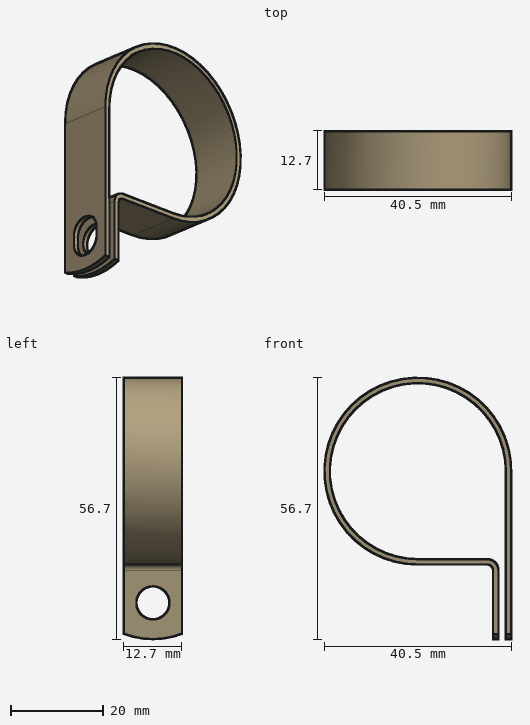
import cadquery as cq
import math

inner_radius = 19.05
thickness = 1.22
width = 12.7
leg_bottom_z = -36.45
leg_gap = 1.55
bend_inner_radius = 1.22
hole_diameter = 7.1
slot_length = 9.1
hole_height = 7.9
tip_sag = 1.2

outer_radius = inner_radius + thickness
bend_outer_radius = bend_inner_radius + thickness
short_leg_outer_x = inner_radius - leg_gap
short_leg_inner_x = short_leg_outer_x - thickness
bend_center_x = short_leg_outer_x - bend_outer_radius
bend_center_z = -inner_radius - bend_outer_radius
half_width = width / 2


def arc_point(center_x, center_z, radius, angle):
    """Point (x, z) on an arc at the given angle in degrees, measured from +X toward +Z."""
    radians = math.radians(angle)
    return (center_x + radius * math.cos(radians), center_z + radius * math.sin(radians))


def loop_midpoint(radius):
    """Point halfway along the three-quarter loop, up and to the left of its axis."""
    return arc_point(0, 0, radius, 135)


def bend_midpoint(radius):
    """Point halfway along the quarter bend, up and to the right of its centre."""
    return arc_point(bend_center_x, bend_center_z, radius, 45)


def make_strap():
    """Bent strip: long straight leg, three-quarter loop, flat shelf, bend and short leg."""
    profile = (
        cq.Workplane("XZ", origin=(0, half_width, 0))
        .moveTo(outer_radius, leg_bottom_z)
        .lineTo(outer_radius, 0)
        .threePointArc(loop_midpoint(outer_radius), (0, -outer_radius))
        .lineTo(bend_center_x, -outer_radius)
        .threePointArc(bend_midpoint(bend_inner_radius), (short_leg_inner_x, bend_center_z))
        .lineTo(short_leg_inner_x, leg_bottom_z)
        .lineTo(short_leg_outer_x, leg_bottom_z)
        .lineTo(short_leg_outer_x, bend_center_z)
        .threePointArc(bend_midpoint(bend_outer_radius), (bend_center_x, -inner_radius))
        .lineTo(0, -inner_radius)
        .threePointArc(loop_midpoint(inner_radius), (inner_radius, 0))
        .lineTo(inner_radius, leg_bottom_z)
        .close()
    )
    return profile.extrude(width)


def make_side_envelope():
    """Block whose arched lower end rounds both leg tips."""
    tip_corner_z = leg_bottom_z + tip_sag
    return (
        cq.Workplane("YZ", origin=(-outer_radius, 0, 0))
        .moveTo(-half_width, outer_radius)
        .lineTo(-half_width, tip_corner_z)
        .threePointArc((0, leg_bottom_z), (half_width, tip_corner_z))
        .lineTo(half_width, outer_radius)
        .close()
        .extrude(2 * outer_radius)
    )


def hole_workplane(leg_inner_x):
    """Plane on the loop-side face of a leg, centred on its hole."""
    return cq.Workplane("YZ", origin=(leg_inner_x, 0, leg_bottom_z + hole_height))


def make_round_hole():
    """Cylinder that pierces the short leg."""
    return hole_workplane(short_leg_inner_x).circle(hole_diameter / 2).extrude(thickness)


def make_slot():
    """Round-ended slot, upright along Z, that pierces the long leg."""
    return hole_workplane(inner_radius).slot2D(slot_length, hole_diameter, 90).extrude(thickness)


result = make_strap().intersect(make_side_envelope()).cut(make_round_hole()).cut(make_slot())